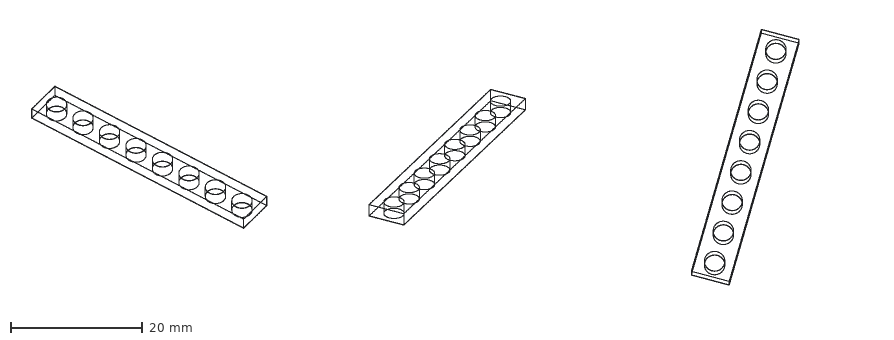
import cadquery as cq

length = 40.0
width = 6.0
thickness = 2.0

hole_count = 8
hole_diameter = 3.1
hole_pitch = length / hole_count

bar = cq.Workplane("XY").box(length, width, thickness)

result = (
    bar.faces(">Z")
    .workplane()
    .rarray(hole_pitch, width, hole_count, 1)
    .hole(hole_diameter)
)